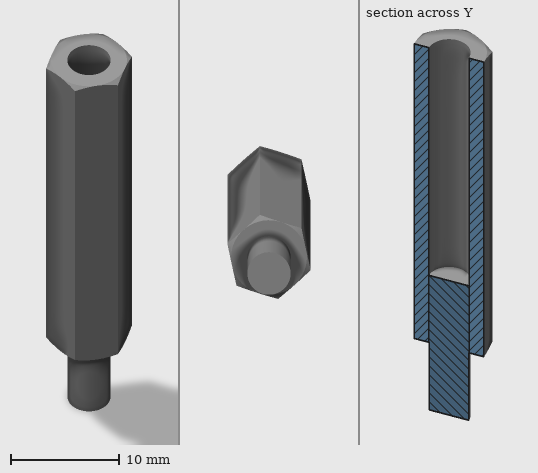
import cadquery as cq
import math

TOTAL_LENGTH = 43.0
STUD_EXPOSED = 8.0
STUD_INSERTED = STUD_EXPOSED
STUD_DIAMETER = 4.0
HEX_SIDES = 6
ACROSS_FLATS = 7.0
CHAMFER_ANGLE = 30.0

HALF_SIDE_ANGLE = 180.0 / HEX_SIDES
HEX_LENGTH = TOTAL_LENGTH - STUD_EXPOSED
ACROSS_CORNERS = ACROSS_FLATS / math.cos(math.radians(HALF_SIDE_ANGLE))
END_RADIUS = ACROSS_FLATS / 2
CORNER_RADIUS = ACROSS_CORNERS / 2
CHAMFER_HEIGHT = (CORNER_RADIUS - END_RADIUS) * math.tan(math.radians(CHAMFER_ANGLE))


def make_chamfer_envelope():
    """Round bar with conical ends that trims the corners of the hexagon."""
    profile = [
        (0, 0),
        (END_RADIUS, 0),
        (CORNER_RADIUS, CHAMFER_HEIGHT),
        (CORNER_RADIUS, HEX_LENGTH - CHAMFER_HEIGHT),
        (END_RADIUS, HEX_LENGTH),
        (0, HEX_LENGTH),
    ]
    return cq.Workplane("XZ").polyline(profile).close().revolve(360, (0, 0), (0, 1))


def make_spacer():
    """Hexagonal spacer with chamfered ends and a through bore, its base at Z = 0."""
    hexagon = (
        cq.Workplane("XY")
        .polygon(HEX_SIDES, ACROSS_CORNERS)
        .extrude(HEX_LENGTH)
        .rotate((0, 0, 0), (0, 0, 1), HALF_SIDE_ANGLE)
    )
    bore = cq.Workplane("XY").circle(STUD_DIAMETER / 2).extrude(HEX_LENGTH)
    return hexagon.intersect(make_chamfer_envelope()).cut(bore)


def make_stud():
    """Plain round stud that fills the lower end of the bore and projects below it."""
    return (
        cq.Workplane("XY", origin=(0, 0, -STUD_EXPOSED))
        .circle(STUD_DIAMETER / 2)
        .extrude(STUD_EXPOSED + STUD_INSERTED)
    )


spacer = make_spacer()
stud = make_stud()
result = cq.Compound.makeCompound([spacer.val(), stud.val()])